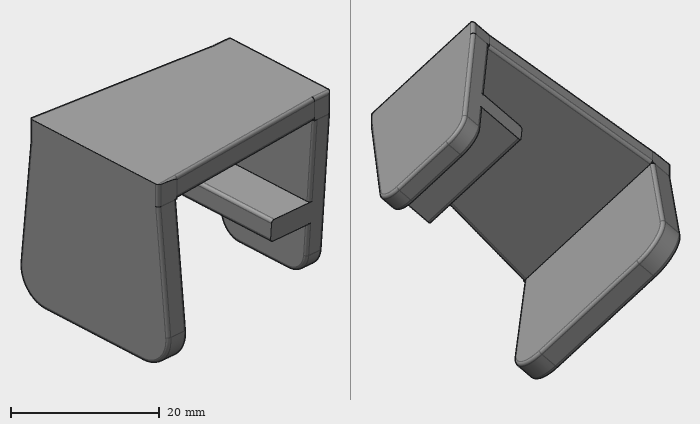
import cadquery as cq
import math

depth = 34.5
height = 28.53
front_leg_height = 28.43
front_thickness = 3.5
back_thickness = 3.07
top_thickness = 3.5

front_top_width = 25.0
front_bottom_width = 28.95
front_corner_radius = 5.0
back_top_width = 20.0
back_bottom_width = 16.2
back_corner_radius = 3.6

shelf_top = 16.55
shelf_thickness = 3.5
shelf_reach = 7.0

edge_radius = 0.5

back_inner_y = depth - back_thickness


def front_sharp_half_width():
    """Half width at the unrounded bottom corner that gives the wanted rounded width."""
    center_x = front_bottom_width / 2 - front_corner_radius
    center_z = front_corner_radius - front_leg_height
    dx = front_top_width / 2 - center_x
    dz = -top_thickness - center_z
    tangent_angle = math.atan2(dz, dx) - math.acos(front_corner_radius / math.hypot(dx, dz))
    lean = math.tan(tangent_angle)
    return front_top_width / 2 + lean * (front_leg_height - top_thickness)


def leg(top_width, bottom_width, leg_height, corner_radius, front_y, thickness):
    """Plate hanging below the top, with leaning sides, round bottom corners and rounded rims."""
    half_top = top_width / 2
    half_bottom = bottom_width / 2
    outline = [
        (half_top, -top_thickness),
        (half_bottom, -leg_height),
        (-half_bottom, -leg_height),
        (-half_top, -top_thickness),
    ]
    plate = cq.Workplane("XZ", origin=(0, front_y, 0)).polyline(outline).close().extrude(-thickness)
    plate = plate.faces("<Z").edges("|Y").fillet(corner_radius)
    return plate.faces("<Y or >Y").edges("not(>Z)").fillet(edge_radius)


def corner_block(width, front_y, length):
    """Block above a leg, as wide as the top of that leg."""
    base = cq.Workplane("XY", origin=(0, front_y, -top_thickness))
    return base.box(width, length, top_thickness, centered=(True, False, False))


def leaning_slab(front_y, edge_choice):
    """Slab from front_y to the back block, narrowing to the back, with chosen edges rounded."""
    half_back = back_top_width / 2
    lean = (front_top_width - back_top_width) / 2 / (back_inner_y - front_thickness)
    half_front = half_back + lean * (back_inner_y - front_y)
    outline = [
        (-half_front, front_y),
        (half_front, front_y),
        (half_back, back_inner_y),
        (-half_back, back_inner_y),
    ]
    slab = cq.Workplane("XY").polyline(outline).close().extrude(-top_thickness)
    return slab.edges(edge_choice).fillet(edge_radius)


def shelf():
    """Shelf whose ends lie flush with the leaning sides of the back leg."""
    lean = (back_top_width - back_bottom_width) / 2 / (height - top_thickness)

    def half_width(drop):
        return back_top_width / 2 - lean * (drop - top_thickness)

    shelf_bottom = shelf_top + shelf_thickness
    outline = [
        (-half_width(shelf_top), -shelf_top),
        (half_width(shelf_top), -shelf_top),
        (half_width(shelf_bottom), -shelf_bottom),
        (-half_width(shelf_bottom), -shelf_bottom),
    ]
    start_y = back_inner_y - shelf_reach
    body = cq.Workplane("XZ", origin=(0, start_y, 0)).polyline(outline).close()
    body = body.extrude(-(shelf_reach + back_thickness / 2))
    return body.faces("<Y").edges("|X").fillet(edge_radius)


front_leg = leg(
    front_top_width, 2 * front_sharp_half_width(), front_leg_height,
    front_corner_radius, 0, front_thickness,
)
back_leg = leg(
    back_top_width, back_bottom_width, height,
    back_corner_radius, back_inner_y, back_thickness,
)

front_block = corner_block(front_top_width, 0, front_thickness)
front_block = front_block.faces("<Y").edges("|Z").fillet(edge_radius)
front_block = front_block.intersect(leaning_slab(0, "(not |X) and >Z"))

back_block = corner_block(back_top_width, back_inner_y, back_thickness)
back_block = back_block.edges("(|Y and >Z) or (|Z and >Y)").fillet(edge_radius)

span = leaning_slab(front_thickness, "(not |X) and (not |Z)")

result = span.union(front_block).union(back_block)
result = result.union(front_leg).union(back_leg).union(shelf())